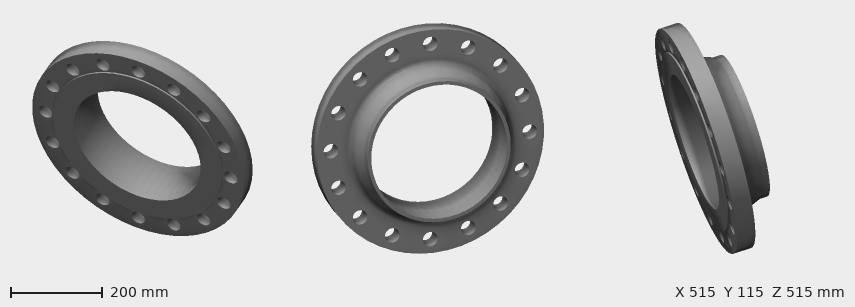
import cadquery as cq
import math


flange_diameter = 515.0
flange_thickness = 42.0
raised_face_diameter = 410.0
raised_face_height = 4.0
total_length = 115.0

pipe_diameter = 323.9
wall_thickness = 8.0
weld_end_length = 18.0
hub_diameter = 362.0
hub_fillet_radius = 12.0

bolt_circle_diameter = 450.0
bolt_hole_diameter = 33.0
bolt_count = 16

flange_radius = flange_diameter / 2
raised_face_radius = raised_face_diameter / 2
pipe_radius = pipe_diameter / 2
bore_radius = pipe_radius - wall_thickness
hub_radius = hub_diameter / 2
flange_back = raised_face_height + flange_thickness
weld_end_start = total_length - weld_end_length


def make_body():
    """Revolve the half section (radius along X, length along Y) about the Y axis."""
    taper = math.atan2(hub_radius - pipe_radius, weld_end_start - flange_back)
    tangent_length = hub_fillet_radius * math.tan((math.pi / 2 - taper) / 2)
    fillet_outer_radius = hub_radius + tangent_length
    fillet_inner_radius = hub_radius - tangent_length * math.sin(taper)
    fillet_top = flange_back + tangent_length * math.cos(taper)

    section = (
        cq.Workplane("XY")
        .moveTo(bore_radius, 0)
        .lineTo(raised_face_radius, 0)
        .lineTo(raised_face_radius, raised_face_height)
        .lineTo(flange_radius, raised_face_height)
        .lineTo(flange_radius, flange_back)
        .lineTo(fillet_outer_radius, flange_back)
        .tangentArcPoint((fillet_inner_radius, fillet_top), relative=False)
        .lineTo(pipe_radius, weld_end_start)
        .lineTo(pipe_radius, total_length)
        .lineTo(bore_radius, total_length)
        .close()
    )
    return section.revolve(360, (0, 0, 0), (0, 1, 0))


def make_bolt_holes():
    """Cylinders on the bolt circle, reaching from the sealing face plane to the flange back."""
    return (
        cq.Workplane("XZ")
        .polarArray(bolt_circle_diameter / 2, 0, 360, bolt_count)
        .circle(bolt_hole_diameter / 2)
        .extrude(-flange_back)
    )


result = make_body().cut(make_bolt_holes())